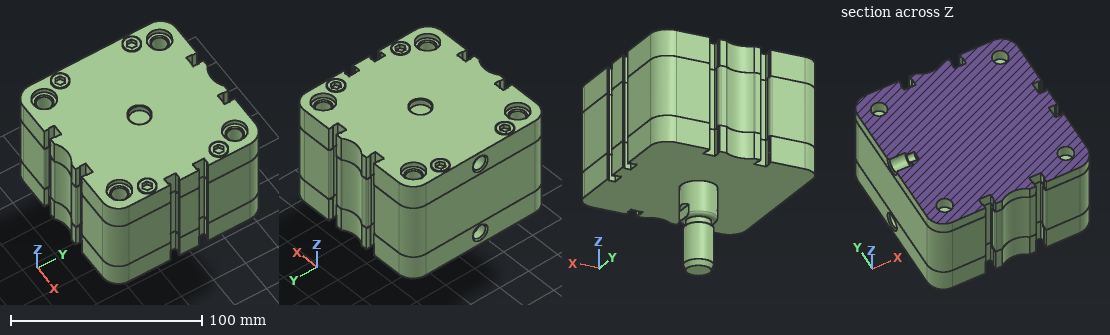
import cadquery as cq

WIDTH = 95.5
HALF = WIDTH / 2
CORNER_RADIUS = 10.0
TOTAL_HEIGHT = 111.0
CAP_HEIGHT = 15.0
BARREL_HEIGHT = 34.1
BARREL_BOTTOM = CAP_HEIGHT
BARREL_TOP = BARREL_BOTTOM + BARREL_HEIGHT
BODY_TOP = BARREL_TOP + CAP_HEIGHT

SIDE_SLOT_X = 15.0
SIDE_SLOT_HEAD = 6.8
SIDE_SLOT_LIP = 3.0
SIDE_SLOT_DEPTH = 6.5
CAP_SLOT_MOUTH = 6.0
BARREL_SLOT_MOUTH = 5.2
LIP_FILLET = 0.8

END_SLOT_Y = 8.9
END_SLOT_HEAD = 7.1
END_SLOT_MOUTH = 5.5
END_SLOT_LIP = 1.2
END_SLOT_BEVEL = 0.4
END_SLOT_DEPTH = 5.1

GROOVE_HALF_WIDTH = 8.1
GROOVE_DEPTH = 2.8

MOUNT_OFFSET = 36.0
COUNTERBORE_DIAMETER = 13.5
COUNTERBORE_DEPTH = 3.0
MOUNT_SINK_DIAMETER = 10.0
MOUNT_HOLE_DIAMETER = 8.5

SCREW_X = 41.6
SCREW_Y = 22.3
SCREW_DIAMETER = 10.1
SCREW_TOP_DIAMETER = 9.3
SOCKET_FLATS = 5.1
SOCKET_DEPTH = 2.5

CENTRE_SINK_DIAMETER = 13.0
CENTRE_HOLE_DIAMETER = 12.0
CENTRE_HOLE_DEPTH = 4.0

PORT_INSET = 8.0
PORT_SINK_DIAMETER = 10.3
PORT_DIAMETER = 8.5
ROD_PORT_DEPTH = 6.0
END_PORT_DEPTH = 10.0
PASSAGE_DIAMETER = 5.0
PASSAGE_LENGTH = 4.4

ROD_DIAMETER = 20.0
ROD_FLATS = 17.0
FLATS_START = 11.4
SHOULDER_LENGTH = 19.0
SHOULDER_FILLET = 1.8
NECK_DIAMETER = 13.5
THREAD_DIAMETER = 16.0
THREAD_START = 22.9
THREAD_LEAD_IN = 0.8
ROD_LENGTH = TOTAL_HEIGHT - BODY_TOP
TIP_LENGTH = 3.2


def slot_tool(mouth, head, lip, depth, bevel, bottom, height):
    """T-slot cutter on the +X side, centred on Y = 0, with an optional bevel behind its lips."""
    floor = (HALF - depth, 0, bottom)
    neck = cq.Workplane("XY").box(depth, mouth, height, centered=(False, True, False))
    wide = cq.Workplane("XY").box(depth - lip, head, height, centered=(False, True, False))
    if bevel > 0:
        wide = wide.edges("|Z and >X").chamfer(bevel)
    return neck.union(wide).translate(floor)


def groove_tool(bottom, height):
    """Round groove cutter on the -Y side."""
    return (
        cq.Workplane("XY")
        .workplane(offset=bottom)
        .moveTo(-GROOVE_HALF_WIDTH, -HALF)
        .threePointArc((0, -HALF + GROOVE_DEPTH), (GROOVE_HALF_WIDTH, -HALF))
        .close()
        .extrude(height)
    )


def section(bottom, height, side_mouth):
    """One slice of the square body with its slots and grooves."""
    body = (
        cq.Workplane("XY")
        .workplane(offset=bottom)
        .rect(WIDTH, WIDTH)
        .extrude(height)
        .edges("|Z")
        .fillet(CORNER_RADIUS)
    )
    side_slot = slot_tool(
        side_mouth, SIDE_SLOT_HEAD, SIDE_SLOT_LIP, SIDE_SLOT_DEPTH, 0, bottom, height
    )
    end_slot = slot_tool(
        END_SLOT_MOUTH, END_SLOT_HEAD, END_SLOT_LIP, END_SLOT_DEPTH, END_SLOT_BEVEL, bottom, height
    )
    groove = groove_tool(bottom, height)
    axis_start, axis_end = (0, 0, 0), (0, 0, 1)
    for turn in (90, -90):
        for x in (-SIDE_SLOT_X, SIDE_SLOT_X):
            body = body.cut(side_slot.rotate(axis_start, axis_end, turn).translate((x, 0, 0)))
    for turn in (0, 180):
        body = body.cut(groove.rotate(axis_start, axis_end, turn))
    for y in (-END_SLOT_Y, END_SLOT_Y):
        body = body.cut(end_slot.translate((0, y, 0)))
    return body


def sunk_hole_tool(sink_diameter, diameter, depth):
    """Hole cutter down from Z = 0 with a 45 degree countersink."""
    sink_radius = sink_diameter / 2
    radius = diameter / 2
    sink_depth = sink_radius - radius
    return (
        cq.Workplane("XZ")
        .polyline([
            (0, 0),
            (sink_radius, 0),
            (radius, -sink_depth),
            (radius, -depth),
            (0, -depth),
        ])
        .close()
        .revolve(360, (0, 0), (0, 1))
    )


def port_tool(depth, z):
    """Air port cutter going in from the -X side."""
    hole = sunk_hole_tool(PORT_SINK_DIAMETER, PORT_DIAMETER, depth)
    return hole.rotate((0, 0, 0), (0, 1, 0), -90).translate((-HALF, 0, z))


def mount_hole_tool():
    """Counterbored and countersunk hole through the end cap."""
    counterbore = cq.Workplane("XY").circle(COUNTERBORE_DIAMETER / 2).extrude(-COUNTERBORE_DEPTH)
    hole = sunk_hole_tool(MOUNT_SINK_DIAMETER, MOUNT_HOLE_DIAMETER, CAP_HEIGHT - COUNTERBORE_DEPTH)
    return counterbore.union(hole.translate((0, 0, -COUNTERBORE_DEPTH)))


def screw_tool():
    """Ring groove around a screw head and its hexagon socket."""
    outer = SCREW_DIAMETER / 2
    inner = SCREW_TOP_DIAMETER / 2
    rim = (
        cq.Workplane("XZ")
        .polyline([(inner, 0), (outer, 0), (outer, inner - outer)])
        .close()
        .revolve(360, (0, 0), (0, 1))
    )
    socket = (
        cq.Workplane("XY")
        .polygon(6, SOCKET_FLATS, circumscribed=True)
        .extrude(-SOCKET_DEPTH)
    )
    return rim.union(socket)


def cut_at_corners(body, tool, x, y, z):
    """Cut the tool at all four sign combinations of x and y."""
    for corner_x in (-x, x):
        for corner_y in (-y, y):
            body = body.cut(tool.translate((corner_x, corner_y, z)))
    return body


def make_end_cap():
    cap = section(BARREL_TOP, CAP_HEIGHT, CAP_SLOT_MOUTH)
    cap = cut_at_corners(cap, mount_hole_tool(), MOUNT_OFFSET, MOUNT_OFFSET, BODY_TOP)
    cap = cut_at_corners(cap, screw_tool(), SCREW_X, SCREW_Y, BODY_TOP)
    centre_hole = sunk_hole_tool(CENTRE_SINK_DIAMETER, CENTRE_HOLE_DIAMETER, CENTRE_HOLE_DEPTH)
    port_z = BODY_TOP - PORT_INSET
    passage = (
        cq.Workplane("YZ")
        .workplane(offset=-HALF)
        .center(0, port_z)
        .circle(PASSAGE_DIAMETER / 2)
        .extrude(END_PORT_DEPTH + PASSAGE_LENGTH)
    )
    return (
        cap.cut(centre_hole.translate((0, 0, BODY_TOP)))
        .cut(port_tool(END_PORT_DEPTH, port_z))
        .cut(passage)
    )


def make_barrel():
    barrel = section(BARREL_BOTTOM, BARREL_HEIGHT, BARREL_SLOT_MOUTH)
    lip_reach = SIDE_SLOT_X + SIDE_SLOT_HEAD
    skin = LIP_FILLET / 2
    for face_y in (-HALF, HALF):
        lips = cq.selectors.BoxSelector(
            (-lip_reach, face_y - skin, BARREL_BOTTOM),
            (lip_reach, face_y + skin, BARREL_TOP),
        )
        barrel = barrel.edges("|Z").edges(lips).fillet(LIP_FILLET)
    return barrel


def make_rod_cap():
    rod_hole = cq.Workplane("XY").circle(ROD_DIAMETER / 2).extrude(CAP_HEIGHT)
    return (
        section(0, CAP_HEIGHT, CAP_SLOT_MOUTH)
        .cut(rod_hole)
        .cut(port_tool(ROD_PORT_DEPTH, PORT_INSET))
    )


def flat_tool():
    """Cutter for the wrench flat on the +X side, with a 45 degree run-out at its top."""
    radius = ROD_DIAMETER / 2
    flat = ROD_FLATS / 2
    runout = radius - flat
    return (
        cq.Workplane("XZ")
        .polyline([
            (radius, -FLATS_START),
            (flat, -FLATS_START - runout),
            (flat, -SHOULDER_LENGTH),
            (radius, -SHOULDER_LENGTH),
        ])
        .close()
        .extrude(radius, both=True)
    )


def make_rod():
    """Rod seated in the rod cap, with wrench flats, undercut neck and threaded end."""
    shank = (
        cq.Workplane("XY")
        .workplane(offset=-SHOULDER_LENGTH)
        .circle(ROD_DIAMETER / 2)
        .extrude(SHOULDER_LENGTH + CAP_HEIGHT)
        .faces("<Z")
        .edges()
        .fillet(SHOULDER_FILLET)
    )
    neck = NECK_DIAMETER / 2
    thread = THREAD_DIAMETER / 2
    threaded_end = (
        cq.Workplane("XZ")
        .polyline([
            (0, -SHOULDER_LENGTH),
            (neck, -SHOULDER_LENGTH),
            (neck, -THREAD_START + THREAD_LEAD_IN),
            (thread, -THREAD_START),
            (thread, -ROD_LENGTH + TIP_LENGTH),
            (neck, -ROD_LENGTH),
            (0, -ROD_LENGTH),
        ])
        .close()
        .revolve(360, (0, 0), (0, 1))
    )
    flat = flat_tool()
    return shank.cut(flat).cut(flat.mirror("YZ")).union(threaded_end)


end_cap = make_end_cap()
barrel = make_barrel()
rod_cap = make_rod_cap()
piston_rod = make_rod()

result = cq.Compound.makeCompound([
    *end_cap.solids().vals(),
    *barrel.solids().vals(),
    *rod_cap.solids().vals(),
    *piston_rod.solids().vals(),
])